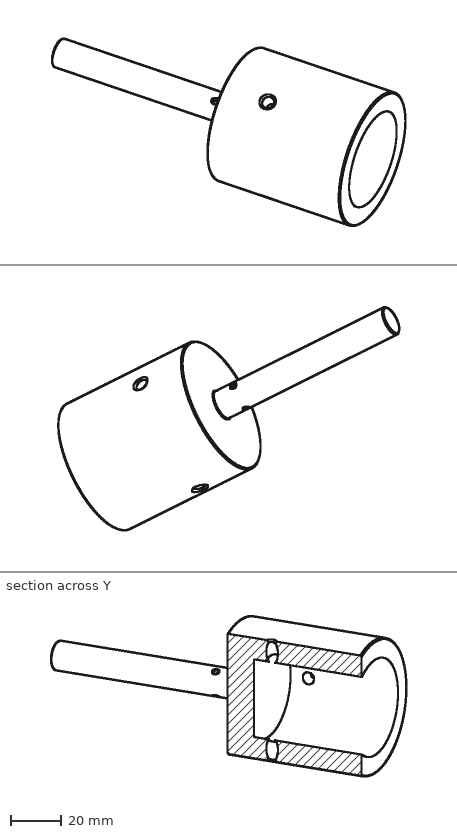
import cadquery as cq

total_length = 142.0
drum_length = 60.0
drum_diameter = 56.0
shaft_diameter = 12.0
drum_start = total_length - drum_length

bore_diameter = 40.0
floor_thickness = 12.0
bore_start = drum_start + floor_thickness

drum_chamfer = 0.5
tip_chamfer = 0.5
root_chamfer = 0.35

holes_per_ring = 3
drum_hole_diameter = 5.0
drum_hole_depth = drum_diameter / 2
drum_hole_mouth_diameter = 6.8
drum_hole_x = drum_start + 20.0
shaft_hole_diameter = 2.1
shaft_hole_depth = 2.1
shaft_hole_mouth_diameter = 3.1
shaft_hole_x = drum_start - 9.7

AXIS_START = (0, 0, 0)
AXIS_END = (1, 0, 0)


def make_body():
    """Revolve the solid shaft and drum, including their edge breaks."""
    drum_radius = drum_diameter / 2
    shaft_radius = shaft_diameter / 2
    return (
        cq.Workplane("XY")
        .moveTo(0, 0)
        .lineTo(0, shaft_radius - tip_chamfer)
        .lineTo(tip_chamfer, shaft_radius)
        .lineTo(drum_start - root_chamfer, shaft_radius)
        .lineTo(drum_start, shaft_radius + root_chamfer)
        .lineTo(drum_start, drum_radius - drum_chamfer)
        .lineTo(drum_start + drum_chamfer, drum_radius)
        .lineTo(total_length - drum_chamfer, drum_radius)
        .lineTo(total_length, drum_radius - drum_chamfer)
        .lineTo(total_length, 0)
        .close()
        .revolve(360, AXIS_START, AXIS_END)
    )


def make_bore():
    """Blind bore that leaves a floor on the shaft side of the drum."""
    return (
        cq.Workplane("YZ", origin=(bore_start, 0, 0))
        .circle(bore_diameter / 2)
        .extrude(total_length - bore_start)
    )


def make_radial_hole(x, surface_radius, depth, hole_diameter, mouth_diameter):
    """Flat-bottomed hole pointing towards +Y with a 45 degree countersunk mouth."""
    hole_radius = hole_diameter / 2
    mouth_radius = mouth_diameter / 2
    sink_depth = mouth_radius - hole_radius
    bottom = surface_radius - depth
    overrun = 1.4
    outer_end = surface_radius + overrun
    return (
        cq.Workplane("XY")
        .moveTo(x, bottom)
        .lineTo(x + hole_radius, bottom)
        .lineTo(x + hole_radius, surface_radius - sink_depth)
        .lineTo(x + mouth_radius + overrun, outer_end)
        .lineTo(x, outer_end)
        .close()
        .revolve(360, (x, 0, 0), (x, 1, 0))
    )


def cut_hole_ring(body, hole):
    """Cut equally spaced copies of a radial hole around the X axis."""
    for index in range(holes_per_ring):
        angle = index * 360 / holes_per_ring
        body = body.cut(hole.rotate(AXIS_START, AXIS_END, angle))
    return body


drum_hole = make_radial_hole(
    drum_hole_x, drum_diameter / 2, drum_hole_depth, drum_hole_diameter, drum_hole_mouth_diameter
)
shaft_hole = make_radial_hole(
    shaft_hole_x, shaft_diameter / 2, shaft_hole_depth, shaft_hole_diameter, shaft_hole_mouth_diameter
)

result = make_body().cut(make_bore())
result = cut_hole_ring(result, drum_hole)
result = cut_hole_ring(result, shaft_hole)